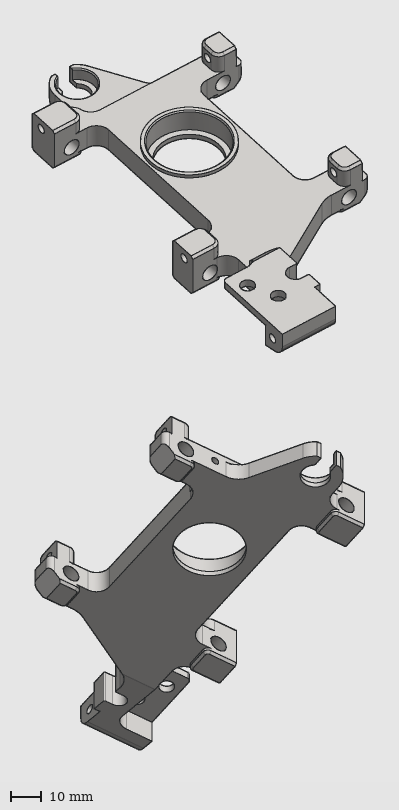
import cadquery as cq
import math

LENGTH = 151.5
DEPTH = 73.5
HEIGHT = 19.0

PLATE_BOTTOM = 2.0
PLATE_TOP = 11.0
PLATE_FRONT = 18.5
PLATE_REAR = 53.3
PLATE_LEFT = 24.2
INNER_RADIUS = 5.0
EDGE_BREAK = 0.9

REAR_ARM_WIDTH = 10.0
REAR_ARM_LEFTS = (PLATE_LEFT, 92.2)
FRONT_LEFT_ARM = (16.5, 28.5)
FRONT_RIGHT_ARM = (92.2, 103.1)
REAR_ARMS = [(left, left + REAR_ARM_WIDTH) for left in REAR_ARM_LEFTS]
FRONT_ARMS = [FRONT_LEFT_ARM, FRONT_RIGHT_ARM]
POST_RADIUS = 3.2
PAD_RADIUS = 2.0
ARM_END_RADIUS = 2.0

FRONT_POST_DEPTH = 12.0
FRONT_POST_TOP = 17.0
FRONT_SCREW_HOLES = (21.4, 98.5)
FRONT_SCREW_Z = 13.0
SCREW_DIAMETER = 3.3
PIN_DIAMETER = 6.0
PIN_Z = 5.9
FRONT_PIN_Y = 7.1

REAR_POST_FRONT = 62.4
REAR_POST_BACK = 70.4
REAR_PAD_FRONT = 60.7
REAR_SHELF_TOP = 10.1
REAR_BEVEL = 4.8
REAR_SCREW_Z = 14.8
REAR_PIN_Y = 65.0
SIDE_HOLE_Y = 53.5
SIDE_HOLE_Z = 7.0
SIDE_HOLE_DIAMETER = 2.7
SIDE_HOLE_DEPTH = 15.1

SEAT_FLOOR = 4.0
SEAT_CHAMFER = 0.5

BEARING_X = 54.8
BEARING_Y = 35.5
BEARING_RIM_TOP = 12.4
BEARING_RIM_DIAMETER = 32.1
BEARING_SEAT_DIAMETER = 28.5
BEARING_BORE_DIAMETER = 24.1

CLIP_X = 7.9
CLIP_Y = 25.0
CLIP_TOP = 8.8
CLIP_RADIUS = 9.1
CLIP_SEAT_DIAMETER = 14.0
CLIP_BORE_DIAMETER = 10.0
CLIP_MOUTH = 5.9
CLIP_ANGLE = 30.0
CLIP_ROOT_RADIUS = 7.5
STEP_RADIUS = INNER_RADIUS
STEP_CORNER_Y = 18.0

SLOPE_ANGLE = 60.0
SLOPE_TOP_Y = 55.1
SLOPE_TOP_RADIUS = 10.0
SLOPE_FOOT_RADIUS = 8.3

BRACKET_LEFT = 114.2
BRACKET_REAR = 24.2
WALL_FRONT = 15.0
FLANGE_LEFT = 119.2
FLANGE_THICKNESS = 2.9
FLANGE_CORNER_RADIUS = 1.5
BRACKET_CORNER_RADIUS = 3.0
LUG_WIDTH = 9.1
LUG_REAR = 22.0
LUG_STEP_X = 140.0
LUG_HOLE_X = 146.1
NOTCH_X = 130.8
NOTCH_WIDTH = 6.4
NOTCH_DEPTH = 6.4
NOTCH_LIP_RADIUS = 0.5
BEVEL_LENGTH = 4.1
BEVEL_HEIGHT = 3.8
UNDERCUT_X = 118.0
UNDERCUT_ANGLE = 12.0
NOSE_RADIUS = 5.0
FLANGE_HOLES = [(126.1, 5.0), (136.1, 10.0)]
FLANGE_HOLE_DIAMETER = 5.1

OVERCUT = 1.5
SAME_POINT = 0.002


def rounded_outline(corners, plane="XY", offset=0.0):
    """Closed outline through corners (u, v, radius), each rounded by a tangent arc."""
    path = None
    last_end = None
    for i, (u, v, radius) in enumerate(corners):
        corner = cq.Vector(u, v)
        to_last = (cq.Vector(*corners[i - 1][:2]) - corner).normalized()
        to_next = (cq.Vector(*corners[(i + 1) % len(corners)][:2]) - corner).normalized()
        half_angle = to_last.getAngle(to_next) / 2
        reach = radius / math.tan(half_angle)
        start = corner + to_last * reach
        end = corner + to_next * reach
        bisector = (to_last + to_next).normalized()
        middle = corner + bisector * (radius / math.sin(half_angle) - radius)
        if path is None:
            path = cq.Workplane(plane, origin=(0, 0, offset)).moveTo(start.x, start.y)
        elif (start - last_end).Length > SAME_POINT:
            path = path.lineTo(start.x, start.y)
        last_end = end
        if radius > 0:
            path = path.threePointArc((middle.x, middle.y), (end.x, end.y))
    return path.close()


def box(x_range, y_range, z_range):
    """Box between the given limits along each axis."""
    limits = (x_range, y_range, z_range)
    sizes = [high - low for low, high in limits]
    corner = [low for low, high in limits]
    return cq.Workplane("XY").box(*sizes, centered=False).translate(tuple(corner))


def disc(x, y, diameter, bottom, top):
    """Vertical cylinder."""
    return cq.Workplane("XY", origin=(x, y, bottom)).circle(diameter / 2).extrude(top - bottom)


def stepped_bore(x, y, bore_diameter, seat_diameter, top):
    """Through bore with a wider seat above it and a chamfer at its mouth."""
    seat_radius = seat_diameter / 2
    mouth_base = cq.Vector(x, y, top - SEAT_CHAMFER)
    mouth = cq.Solid.makeCone(seat_radius, seat_radius + SEAT_CHAMFER, SEAT_CHAMFER, mouth_base)
    bore = disc(x, y, bore_diameter, 0, top)
    return bore.union(disc(x, y, seat_diameter, SEAT_FLOOR, top)).union(cq.Workplane(mouth))


def hole_along_x(y, z, diameter, start, end):
    """Cylinder along X from start to end."""
    return cq.Workplane("YZ", origin=(start, y, z)).circle(diameter / 2).extrude(end - start)


def hole_along_y(x, z, diameter, start, end):
    """Cylinder along Y from start to end."""
    return cq.Workplane("XZ", origin=(x, start, z)).circle(diameter / 2).extrude(start - end)


def make_plate():
    """Main plate with the four arms in one outline."""
    (left_a, left_b), (right_a, right_b) = FRONT_ARMS
    (rear_a, rear_b), (rear_c, rear_d) = REAR_ARMS
    step_width = rear_a - left_a
    step_turn = math.acos(1 - step_width / (2 * STEP_RADIUS))
    step_drop = step_width / math.tan(step_turn)
    slope_run = (SLOPE_TOP_Y - BRACKET_REAR) / math.tan(math.radians(SLOPE_ANGLE))
    slope_foot = rear_d + slope_run
    plate_end = slope_foot + SLOPE_FOOT_RADIUS * math.tan(math.radians(SLOPE_ANGLE / 2))
    corners = [
        (left_a, 0, 0),
        (left_b, 0, 0),
        (left_b, PLATE_FRONT, INNER_RADIUS),
        (right_a, PLATE_FRONT, INNER_RADIUS),
        (right_a, 0, 0),
        (right_b, 0, 0),
        (right_b, WALL_FRONT, INNER_RADIUS),
        (plate_end, WALL_FRONT, 0),
        (plate_end, BRACKET_REAR, 0),
        (slope_foot, BRACKET_REAR, SLOPE_FOOT_RADIUS),
        (rear_d, SLOPE_TOP_Y, SLOPE_TOP_RADIUS),
        (rear_d, DEPTH, ARM_END_RADIUS),
        (rear_c, DEPTH, ARM_END_RADIUS),
        (rear_c, PLATE_REAR, INNER_RADIUS),
        (rear_b, PLATE_REAR, INNER_RADIUS),
        (rear_b, DEPTH, ARM_END_RADIUS),
        (rear_a, DEPTH, ARM_END_RADIUS),
        (rear_a, STEP_CORNER_Y, STEP_RADIUS),
        (left_a, STEP_CORNER_Y - step_drop, STEP_RADIUS),
    ]
    return rounded_outline(corners, offset=PLATE_BOTTOM).extrude(PLATE_TOP - PLATE_BOTTOM)


def make_clip():
    """Thinner lobe on the left that carries the open seat."""
    angle = math.radians(CLIP_ANGLE)

    def upper_edge(x):
        return CLIP_Y + CLIP_RADIUS / math.cos(angle) + (x - CLIP_X) * math.tan(angle)

    tip = CLIP_X - CLIP_RADIUS
    front = CLIP_Y - CLIP_RADIUS
    arm_left, arm_right = FRONT_LEFT_ARM
    corners = [
        (PLATE_LEFT, PLATE_REAR, 0),
        (PLATE_LEFT, upper_edge(PLATE_LEFT), CLIP_ROOT_RADIUS),
        (tip, upper_edge(tip), CLIP_RADIUS),
        (tip, front, CLIP_RADIUS),
        (arm_left, front, INNER_RADIUS),
        (arm_left, front - INNER_RADIUS - OVERCUT, 0),
        (arm_right, front - INNER_RADIUS - OVERCUT, 0),
        (arm_right, PLATE_REAR, 0),
    ]
    clip = rounded_outline(corners, offset=PLATE_BOTTOM).extrude(CLIP_TOP - PLATE_BOTTOM)
    return clip.cut(box((tip - OVERCUT, 0), (0, DEPTH), (0, HEIGHT)))


def cut_clip_seat(body):
    """Stepped bore of the clip, open to the left."""
    half_mouth = CLIP_MOUTH / 2
    mouth = box((-OVERCUT, CLIP_X), (CLIP_Y - half_mouth, CLIP_Y + half_mouth), (0, CLIP_TOP))
    bore = stepped_bore(CLIP_X, CLIP_Y, CLIP_BORE_DIAMETER, CLIP_SEAT_DIAMETER, CLIP_TOP)
    return body.cut(mouth).cut(bore)


def make_front_arm(left, right):
    """Post above and pad below the plate at the end of a front arm."""
    sides = ((left, right), (0, FRONT_POST_DEPTH))
    post = box(*sides, (PLATE_BOTTOM, FRONT_POST_TOP))
    post = post.edges("|Z and >Y").fillet(POST_RADIUS)
    post = post.faces(">Z").edges("not <Y").chamfer(EDGE_BREAK)
    pad = box(*sides, (0, PLATE_TOP))
    pad = pad.edges("|Z and >Y").fillet(PAD_RADIUS)
    pad = pad.faces("<Z").edges("not <Y").chamfer(EDGE_BREAK)
    return post, pad.intersect(box(*sides, (0, PLATE_BOTTOM)))


def make_rear_arm(left, right):
    """Post above and pad below the plate near the end of a rear arm."""
    post = box((left, right), (REAR_POST_FRONT, REAR_POST_BACK), (PLATE_BOTTOM, HEIGHT))
    post = post.edges("|Z and <Y").fillet(POST_RADIUS)
    post = post.faces(">Z").edges("not >Y").chamfer(EDGE_BREAK)
    pad_sides = ((left, right), (REAR_PAD_FRONT, DEPTH))
    pad = box(*pad_sides, (0, PLATE_TOP))
    pad = pad.edges("|Z and <Y").fillet(PAD_RADIUS)
    pad = pad.faces("<Z").edges("not >Y").chamfer(EDGE_BREAK)
    return post, pad.intersect(box(*pad_sides, (0, PLATE_BOTTOM)))


def cut_rear_arm_end(body, left, right):
    """Low shelf and lower bevel behind the post."""
    shelf = box((left, right), (REAR_POST_BACK, DEPTH), (REAR_SHELF_TOP, PLATE_TOP))
    bevel = (
        cq.Workplane("YZ", origin=(left, 0, 0))
        .polyline([(DEPTH - REAR_BEVEL, 0), (DEPTH, 0), (DEPTH, REAR_BEVEL)])
        .close()
        .extrude(right - left)
    )
    return body.cut(shelf).cut(bevel)


def make_bracket():
    """Raised wall with a flange on top and a lug at the far end."""
    half_notch = NOTCH_WIDTH / 2
    notch_front = BRACKET_REAR - NOTCH_DEPTH
    corners = [
        (BRACKET_LEFT, WALL_FRONT, 0),
        (FLANGE_LEFT, WALL_FRONT, INNER_RADIUS),
        (FLANGE_LEFT, 0, FLANGE_CORNER_RADIUS),
        (LENGTH, 0, 0),
        (LENGTH, LUG_REAR, 0),
        (LUG_STEP_X, LUG_REAR, 0),
        (LUG_STEP_X, BRACKET_REAR, 0),
        (NOTCH_X + half_notch, BRACKET_REAR, NOTCH_LIP_RADIUS),
        (NOTCH_X + half_notch, notch_front, half_notch),
        (NOTCH_X - half_notch, notch_front, half_notch),
        (NOTCH_X - half_notch, BRACKET_REAR, NOTCH_LIP_RADIUS),
        (BRACKET_LEFT, BRACKET_REAR, BRACKET_CORNER_RADIUS),
    ]
    bracket = rounded_outline(corners, offset=PLATE_BOTTOM).extrude(HEIGHT - PLATE_BOTTOM)
    lug_left = LENGTH - LUG_WIDTH
    pocket_corners = [
        (BRACKET_LEFT, -OVERCUT, 0),
        (lug_left, -OVERCUT, 0),
        (lug_left, WALL_FRONT, INNER_RADIUS),
        (BRACKET_LEFT, WALL_FRONT, 0),
    ]
    pocket = rounded_outline(pocket_corners).extrude(HEIGHT - FLANGE_THICKNESS)
    bevel = (
        cq.Workplane("XZ")
        .polyline([
            (BRACKET_LEFT, HEIGHT - BEVEL_HEIGHT),
            (BRACKET_LEFT + BEVEL_LENGTH, HEIGHT),
            (BRACKET_LEFT, HEIGHT),
        ])
        .close()
        .extrude(-DEPTH)
    )
    return bracket.cut(pocket).cut(bevel)


def cut_bracket(body):
    """Rising underside with its rounded nose, and the holes."""
    rise = (LENGTH - UNDERCUT_X) * math.tan(math.radians(UNDERCUT_ANGLE))
    far = LENGTH + OVERCUT
    corners = [
        (UNDERCUT_X, PLATE_BOTTOM, 0),
        (LENGTH, PLATE_BOTTOM + rise, NOSE_RADIUS),
        (LENGTH, HEIGHT, 0),
        (far, HEIGHT, 0),
        (far, 0, 0),
        (UNDERCUT_X, 0, 0),
    ]
    body = body.cut(rounded_outline(corners, plane="XZ").extrude(-DEPTH))
    for x, y in FLANGE_HOLES:
        body = body.cut(disc(x, y, FLANGE_HOLE_DIAMETER, 0, HEIGHT))
    return body.cut(hole_along_y(LUG_HOLE_X, FRONT_SCREW_Z, SCREW_DIAMETER, 0, DEPTH))


def cut_arm_holes(body):
    """Pin holes across the arms and screw holes through the posts."""
    for left, right in FRONT_ARMS:
        body = body.cut(hole_along_x(FRONT_PIN_Y, PIN_Z, PIN_DIAMETER, left, right))
    for x in FRONT_SCREW_HOLES:
        body = body.cut(hole_along_y(x, FRONT_SCREW_Z, SCREW_DIAMETER, 0, FRONT_POST_DEPTH))
    for left, right in REAR_ARMS:
        body = body.cut(hole_along_x(REAR_PIN_Y, PIN_Z, PIN_DIAMETER, left, right))
        middle = (left + right) / 2
        body = body.cut(hole_along_y(middle, REAR_SCREW_Z, SCREW_DIAMETER, REAR_POST_FRONT, DEPTH))
    side_end = PLATE_LEFT + SIDE_HOLE_DEPTH
    return body.cut(hole_along_x(SIDE_HOLE_Y, SIDE_HOLE_Z, SIDE_HOLE_DIAMETER, PLATE_LEFT, side_end))


def add_bearing_seat(body):
    """Raised rim around the stepped bore."""
    rim = disc(BEARING_X, BEARING_Y, BEARING_RIM_DIAMETER, PLATE_BOTTOM, BEARING_RIM_TOP)
    body = body.union(rim)
    bore = stepped_bore(
        BEARING_X, BEARING_Y, BEARING_BORE_DIAMETER, BEARING_SEAT_DIAMETER, BEARING_RIM_TOP
    )
    return body.cut(bore)


result = make_plate().union(make_clip())
for sides in FRONT_ARMS:
    for piece in make_front_arm(*sides):
        result = result.union(piece)
for sides in REAR_ARMS:
    for piece in make_rear_arm(*sides):
        result = result.union(piece)
    result = cut_rear_arm_end(result, *sides)
result = result.union(make_bracket())
result = cut_bracket(result)
result = cut_clip_seat(result)
result = add_bearing_seat(result)
result = cut_arm_holes(result)